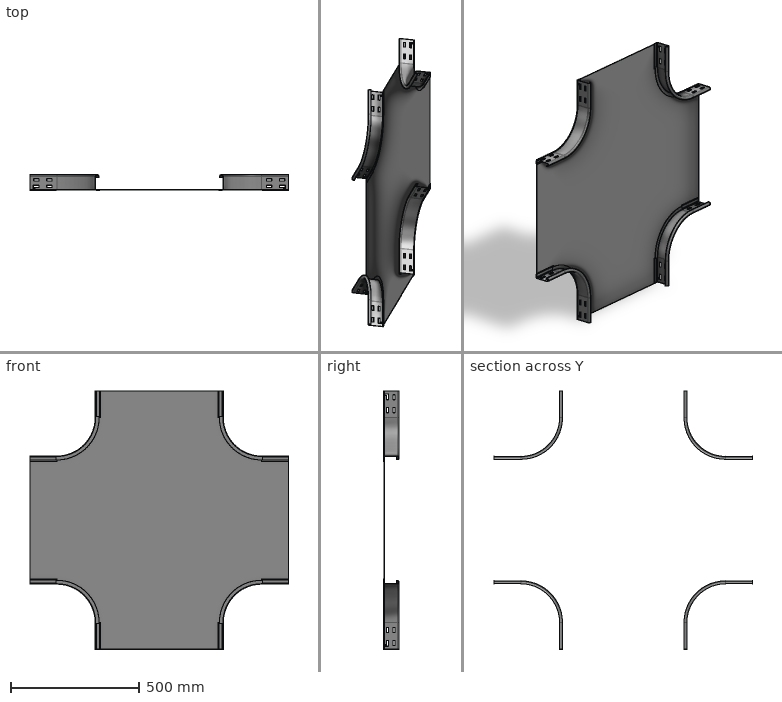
import cadquery as cq
import math

OVERALL = 1010.0
HEIGHT = 62.0
ARM_WIDTH = 500.0
STRAIGHT = 105.0
HALF_SPAN = OVERALL / 2
HALF_ARM = ARM_WIDTH / 2
CORNER_CENTRE = HALF_SPAN - STRAIGHT
CURVE_RADIUS = CORNER_CENTRE - HALF_ARM

RAIL_SHEET = 1.5
PLATE_SHEET = 1.0
LIP_RADIUS = 7.0
LIP_DROP = 3.0
CURVE_FLANGE = 15.0
STRAIGHT_FLANGE = 20.0
PAD_HEIGHT = 1.0
PAD_MARGIN = 4.0
FLANGE_BASE = PAD_HEIGHT
PLATE_BASE = FLANGE_BASE + RAIL_SHEET

SLOT_LENGTH = 19.0
SLOT_WIDTH = 7.0
SLOT_COLUMNS = 2
SLOT_ROWS = 2
FIRST_SLOT = 25.0
COLUMN_PITCH = 50.0
LOW_SLOT = 16.0
ROW_PITCH = 25.0
LEG_WIDTH = 5.0
LEG_FOOT = 7.0


def rail_profile(plane, flange_width):
    """Rail section: local x runs from the wall's outer face to the tray, local y is the height."""
    lip_start = HEIGHT - LIP_RADIUS
    lip_end = lip_start - LIP_DROP
    lip_width = 2 * LIP_RADIUS
    return (
        cq.Workplane(plane)
        .moveTo(flange_width, FLANGE_BASE)
        .lineTo(0, FLANGE_BASE)
        .lineTo(0, lip_start)
        .threePointArc((LIP_RADIUS, HEIGHT), (lip_width, lip_start))
        .lineTo(lip_width, lip_end)
        .lineTo(lip_width - RAIL_SHEET, lip_end)
        .lineTo(lip_width - RAIL_SHEET, lip_start)
        .threePointArc((LIP_RADIUS, HEIGHT - RAIL_SHEET), (RAIL_SHEET, lip_start))
        .lineTo(RAIL_SHEET, PLATE_BASE)
        .lineTo(flange_width, PLATE_BASE)
        .close()
    )


def flange_pad():
    """Raised strip below the flange of the straight along X, stopping short of the curve."""
    length = STRAIGHT - PAD_MARGIN
    width = STRAIGHT_FLANGE - 2 * PAD_MARGIN
    corner = (HALF_SPAN - length, 0, HALF_ARM - PAD_MARGIN - width)
    return cq.Workplane("XY").box(length, PAD_HEIGHT, width, centered=False).translate(corner)


def slot_cutter():
    """Slots through the wall of the straight along X, measured inwards from its +X end."""
    overshoot = RAIL_SHEET / 2
    depth = RAIL_SHEET + 2 * overshoot
    wall_face = cq.Plane(
        origin=(HALF_SPAN, 0, HALF_ARM + overshoot), xDir=(-1, 0, 0), normal=(0, 0, -1)
    )
    centres = [
        (FIRST_SLOT + column * COLUMN_PITCH, LOW_SLOT + row * ROW_PITCH)
        for column in range(SLOT_COLUMNS)
        for row in range(SLOT_ROWS)
    ]
    slots = cq.Workplane(wall_face).pushPoints(centres).rect(SLOT_LENGTH, SLOT_WIDTH).extrude(depth)
    leg_height = LOW_SLOT + SLOT_WIDTH / 2 - LEG_FOOT
    leg = (
        cq.Workplane(wall_face)
        .center(FIRST_SLOT - SLOT_LENGTH / 2, LEG_FOOT + leg_height / 2)
        .rect(LEG_WIDTH, leg_height)
        .extrude(depth)
    )
    return slots.union(leg)


def swap_x_and_z(shape):
    """Reflect across the corner diagonal, taking one straight of a rail onto the other."""
    return shape.rotate((0, 0, 0), (1, 0, 1), 180).mirror("XZ")


def side_rail():
    """Rail of the +X +Z corner: a quarter curve between two slotted straights."""
    section = cq.Plane(origin=(CORNER_CENTRE, 0, HALF_ARM), xDir=(0, 0, -1), normal=(1, 0, 0))
    straight = (
        rail_profile(section, STRAIGHT_FLANGE)
        .extrude(STRAIGHT)
        .cut(slot_cutter())
        .union(flange_pad())
    )
    curve = rail_profile(section, CURVE_FLANGE).revolve(
        90, (-CURVE_RADIUS, 0, 0), (-CURVE_RADIUS, 1, 0)
    )
    return straight.union(curve).union(swap_x_and_z(straight))


def about_y(shape, quarter):
    """Turn a shape by whole quarter turns about the tray's centre axis."""
    return shape.rotate((0, 0, 0), (0, 1, 0), 90 * quarter)


def base_plate():
    """Cross-shaped sheet resting on the rail flanges and butting against the rail walls."""
    sheet = (
        cq.Workplane("XZ", origin=(0, PLATE_BASE, 0))
        .rect(OVERALL, OVERALL)
        .extrude(-PLATE_SHEET)
    )
    edge = HALF_ARM - RAIL_SHEET
    mid_curve = CORNER_CENTRE - (CURVE_RADIUS + RAIL_SHEET) * math.sqrt(0.5)
    corner_notch = (
        cq.Workplane("XZ")
        .moveTo(HALF_SPAN, edge)
        .lineTo(CORNER_CENTRE, edge)
        .threePointArc((mid_curve, mid_curve), (edge, CORNER_CENTRE))
        .lineTo(edge, HALF_SPAN)
        .lineTo(HALF_SPAN, HALF_SPAN)
        .close()
        .extrude(-HEIGHT)
    )
    for quarter in range(4):
        sheet = sheet.cut(about_y(corner_notch, quarter))
    return sheet


plate = base_plate()
corner_rail = side_rail()
rails = [about_y(corner_rail, quarter) for quarter in range(4)]

result = cq.Compound.makeCompound([plate.val(), *[rail.val() for rail in rails]])